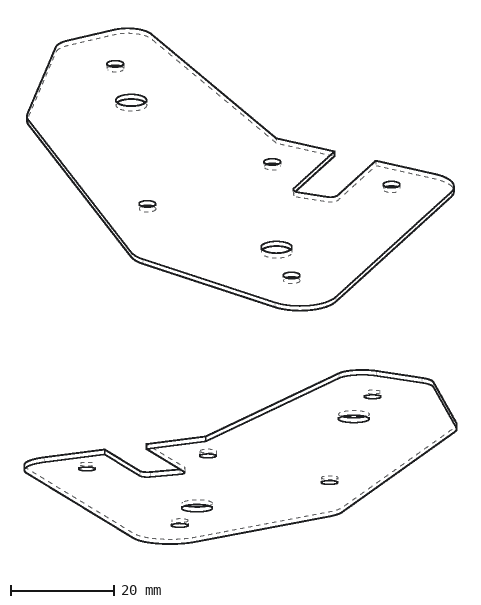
import cadquery as cq

width = 99.4
thickness = 1.0

large_radius = 7.5
small_radius = 5.0
top_inner_corner = (57.5, 78.0)
corners = [
    ((width, -2.9), large_radius),
    ((width, 72.0), large_radius),
    (top_inner_corner, 0),
    ((10.5, 121.8), small_radius),
    ((-0.4, 106.8), small_radius),
    ((8.6, 69.4), large_radius),
    ((55.4, 11.7), large_radius),
]

slot_left = 70.5
slot_width = 9.2
slot_floor = 54.2
slot_corner_radius = 1.5

small_hole_diameter = 3.2
small_holes = [(14.1, 101.2), (61.4, 66.6), (87.2, 64.8), (47.4, 37.5), (87.2, 14.4)]
large_hole_diameter = 6.0
large_holes = [(24.1, 85.2), (79.0, 26.6)]


def make_blank():
    """Flat plate with its outer corners rounded."""
    blank = cq.Workplane("XY").polyline([point for point, _ in corners]).close().extrude(thickness)
    for (x, y), radius in corners:
        if radius > 0:
            corner_edge = cq.selectors.NearestToPointSelector((x, y, thickness / 2))
            blank = blank.edges("|Z").edges(corner_edge).fillet(radius)
    return blank


def make_slot():
    """Cutter for the slot: rounded at the floor, running out past the upper edge."""
    slot_height = top_inner_corner[1] - slot_floor
    return (
        cq.Workplane("XY")
        .box(slot_width, slot_height, thickness, centered=False)
        .edges("|Z and <Y")
        .fillet(slot_corner_radius)
        .translate((slot_left, slot_floor, 0))
    )


def make_holes(centers, diameter):
    """Cutters for a set of equal through holes."""
    return cq.Workplane("XY").pushPoints(centers).circle(diameter / 2).extrude(thickness)


result = (
    make_blank()
    .cut(make_slot())
    .cut(make_holes(small_holes, small_hole_diameter))
    .cut(make_holes(large_holes, large_hole_diameter))
)